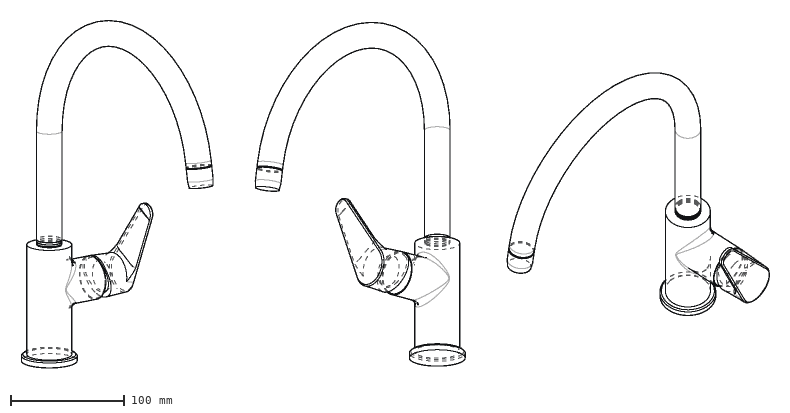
import cadquery as cq
import math

flange_diameter = 49.5
flange_height = 6.0
flange_chamfer = 1.3
column_diameter = 40.0
column_height = 106.5

arm_radius = 19.5
arm_height = 68.5
arm_end = 48.0
arm_fillet = 5.3
neck_base_radius = 18.5
neck_tip_radius = 14.0
neck_end = 58.2

spout_diameter = 23.0
groove_diameter = 22.0
spout_radius = spout_diameter / 2
bend_angle = 170.0
bend_start = 210.5
total_height = 332.5
bend_radius = total_height - bend_start - spout_radius
base_groove_height = 1.0
ring_groove_bottom = column_height + 2.5
ring_groove_height = 2.0
collar_length = 4.3
aerator_groove_length = 1.0
aerator_cone_start = 16.5
aerator_length = 22.5
aerator_tip_radius = 10.5

lever_angle = 30.4
hub_start = 50.0
hub_start_radius = 19.5
hub_end_radius = 18.3
overall_depth = 106.5
lever_outer = overall_depth - flange_diameter / 2
rim_chamfer = 1.3
handle_length = 71.5
handle_tip_radius = 9.0
rim_inner = 77.8
handle_tip_inner = 77.0
handle_root_inner = 74.0
handle_root_fillet = 8.5
hub_slant_top = (49.5, 79.8)
hub_slant_bottom = (58.2, 49.2)


def y_cylinder(radius, start, end):
    """Cylinder about the Y axis between two Y positions."""
    return cq.Workplane("XZ", origin=(0, start, 0)).circle(radius).extrude(start - end)


def make_neck():
    """Tapered neck on the end of the arm, which seats the lever."""
    profile = [(0, arm_end), (neck_base_radius, arm_end), (neck_tip_radius, neck_end), (0, neck_end)]
    neck = cq.Workplane("XY").polyline(profile).close().revolve(360, (0, 0, 0), (0, 1, 0))
    return neck.translate((0, 0, arm_height))


def make_column():
    """Flanged column with the filleted side arm and its neck."""
    column = cq.Workplane("XY").circle(column_diameter / 2).extrude(column_height)
    arm = y_cylinder(arm_radius, 0, arm_end).translate((0, 0, arm_height))
    half = column_diameter / 2
    joint = cq.selectors.BoxSelector(
        (-half, 0, arm_height - half),
        (half, half, arm_height + half),
    )
    column = column.union(arm).edges(joint).fillet(arm_fillet)
    flange = cq.Workplane("XY").circle(flange_diameter / 2).extrude(flange_height)
    flange = flange.faces(">Z").chamfer(flange_chamfer)
    return column.union(flange).union(make_neck())


def make_spout():
    """Grooved upright tube, circular bend and stepped aerator."""
    spout_profile = [
        (0, column_height),
        (groove_diameter / 2, column_height),
        (groove_diameter / 2, column_height + base_groove_height),
        (spout_radius, column_height + base_groove_height),
        (spout_radius, ring_groove_bottom),
        (groove_diameter / 2, ring_groove_bottom),
        (groove_diameter / 2, ring_groove_bottom + ring_groove_height),
        (spout_radius, ring_groove_bottom + ring_groove_height),
        (spout_radius, bend_start),
        (0, bend_start),
    ]
    upright = cq.Workplane("XZ").polyline(spout_profile).close().revolve(360, (0, 0, 0), (0, 1, 0))
    bend = (
        cq.Workplane("XY", origin=(0, 0, bend_start))
        .circle(spout_radius)
        .revolve(bend_angle, (bend_radius, 0, 0), (bend_radius, 1, 0))
    )
    groove_end = collar_length + aerator_groove_length
    aerator_profile = [
        (0, 0),
        (spout_radius, 0),
        (spout_radius, collar_length),
        (groove_diameter / 2, collar_length),
        (groove_diameter / 2, groove_end),
        (spout_radius, groove_end),
        (spout_radius, aerator_cone_start),
        (aerator_tip_radius, aerator_length),
        (0, aerator_length),
    ]
    bend_center = (bend_radius, 0, bend_start)
    aerator = (
        cq.Workplane("XZ")
        .polyline(aerator_profile)
        .close()
        .revolve(360, (0, 0, 0), (0, 1, 0))
        .translate((0, 0, bend_start))
        .rotate(bend_center, (bend_radius, 1, bend_start), bend_angle)
    )
    return upright.union(bend).union(aerator)


def handle_outline():
    """Prism through the lever whose outline is the hub and tip circles joined by tangents."""
    tangent_sine = (hub_end_radius - handle_tip_radius) / handle_length
    tangent_cosine = math.sqrt(1 - tangent_sine**2)
    hub_x = hub_end_radius * tangent_cosine
    hub_z = hub_end_radius * tangent_sine
    tip_x = handle_tip_radius * tangent_cosine
    tip_z = handle_length + handle_tip_radius * tangent_sine
    return (
        cq.Workplane("XZ", origin=(0, hub_start, 0))
        .moveTo(hub_x, hub_z)
        .lineTo(tip_x, tip_z)
        .threePointArc((0, handle_length + handle_tip_radius), (-tip_x, tip_z))
        .lineTo(-hub_x, hub_z)
        .threePointArc((0, -hub_end_radius), (hub_x, hub_z))
        .close()
        .extrude(hub_start - lever_outer)
        .faces(">Y")
        .chamfer(rim_chamfer)
    )


def make_handle():
    """Thin plate with a tapering rounded back, blended into the hub by a concave round."""
    plate_size = 2 * (handle_length + handle_tip_radius)
    plate = (
        cq.Workplane("XZ", origin=(0, rim_inner, 0))
        .rect(plate_size, plate_size)
        .extrude(rim_inner - lever_outer)
    )
    back = (
        cq.Workplane("XY")
        .moveTo(-hub_end_radius, rim_inner)
        .threePointArc((0, handle_root_inner), (hub_end_radius, rim_inner))
        .close()
        .workplane(offset=handle_length)
        .moveTo(-handle_tip_radius, rim_inner)
        .threePointArc((0, handle_tip_inner), (handle_tip_radius, rim_inner))
        .close()
        .loft(ruled=True)
    )
    flare_start = rim_inner - handle_root_fillet
    flare_radius = hub_end_radius + handle_root_fillet
    arc_offset = handle_root_fillet * math.sqrt(0.5)
    flare = (
        cq.Workplane("XY")
        .moveTo(0, flare_start)
        .lineTo(hub_end_radius, flare_start)
        .threePointArc((flare_radius - arc_offset, flare_start + arc_offset), (flare_radius, rim_inner))
        .lineTo(flare_radius, lever_outer)
        .lineTo(0, lever_outer)
        .close()
        .revolve(360, (0, 0, 0), (0, 1, 0))
    )
    return plate.union(back).union(flare).intersect(handle_outline())


def make_lever():
    """Lever with its slanted hub mouth and the recess that fits the neck."""
    hub = (
        cq.Workplane("XY")
        .polyline([
            (0, hub_start),
            (hub_start_radius, hub_start),
            (hub_end_radius, lever_outer - rim_chamfer),
            (hub_end_radius - rim_chamfer, lever_outer),
            (0, lever_outer),
        ])
        .close()
        .revolve(360, (0, 0, 0), (0, 1, 0))
    )
    lever = hub.union(make_handle())
    lever = lever.rotate((0, 0, 0), (0, 1, 0), lever_angle).translate((0, 0, arm_height))

    slope = (hub_slant_bottom[0] - hub_slant_top[0]) / (hub_slant_top[1] - hub_slant_bottom[1])
    cut_bottom = arm_height - 2 * hub_start_radius
    cut_reach = hub_slant_bottom[0] + slope * (hub_slant_bottom[1] - cut_bottom)
    mouth_cut = (
        cq.Workplane("YZ")
        .polyline([hub_slant_top, (cut_reach, cut_bottom), (0, cut_bottom), (0, hub_slant_top[1])])
        .close()
        .extrude(2 * hub_start_radius, both=True)
    )
    return lever.cut(mouth_cut).cut(make_neck())


faucet = make_column().union(make_spout())
lever = make_lever()

result = cq.Compound.makeCompound([faucet.val(), lever.val()])